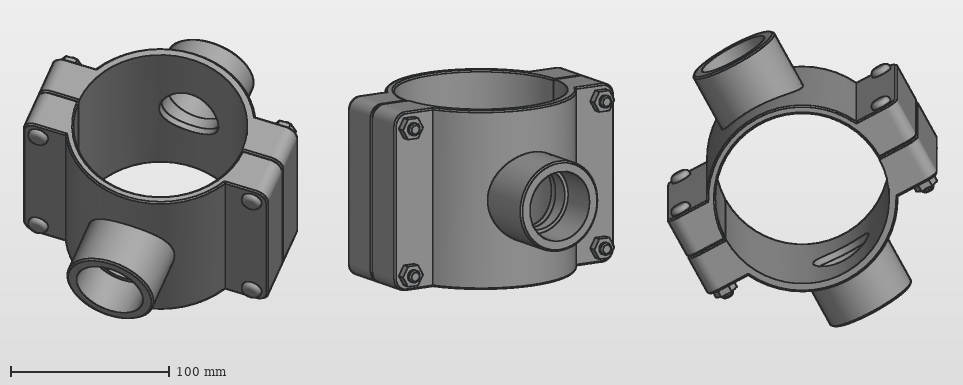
import cadquery as cq
import math

height = 116.0
width = 165.0
bore_diameter = 110.0
ring_diameter = 120.9
flange_depth = 55.0
corner_radius = 8.5
edge_chamfer = 1.05

bolt_spacing_x = 144.0
bolt_spacing_z = 95.5
bolt_diameter = 8.0
bolt_reach = 8.0
bolt_chamfer = 1.1
head_diameter = 13.0
head_height = 3.9
head_round = 3.0
nut_across_flats = 13.0
nut_height = 5.0

length = 184.0
spigot_diameter = 58.3
passage_diameter = 40.0
socket_diameter = 44.9
socket_depth = 25.0
seat_depth = 1.0
spigot_chamfer = 1.1

nut_across_corners = nut_across_flats / math.cos(math.pi / 6)
flange_face = flange_depth / 2
seat_diameter = ring_diameter - 2 * seat_depth


def y_cylinder(diameter, start, end):
    """Round bar along the Y axis, from Y = start to Y = end."""
    return cq.Workplane("XZ", origin=(0, start, 0)).circle(diameter / 2).extrude(start - end)


def z_cylinder(diameter):
    """Round bar along the Z axis, as high as the clamp."""
    return cq.Workplane("XY", origin=(0, 0, -height / 2)).circle(diameter / 2).extrude(height)


def turned_about(body):
    """The body turned half a turn about the Z axis."""
    return body.rotate((0, 0, 0), (0, 0, 1), 180)


def half_blank():
    """The -Y half of the clamp, without its bore."""
    flanges = cq.Workplane("XY").box(width, flange_depth, height).edges("|Y").fillet(corner_radius)
    front = cq.Workplane("XY").box(width, length, height).translate((0, -length / 2, 0))
    return z_cylinder(ring_diameter).union(flanges).intersect(front)


def chamfer_rims(half):
    """Chamfer the rims of the half's ends, flange face and parting face."""
    return half.faces("<Z or >Z or >Y").edges().chamfer(edge_chamfer)


def fastener():
    """Bolt head on the -Y flange face, with the nut and bolt end on the +Y one, on the Y axis."""
    head = y_cylinder(head_diameter, -flange_face, -flange_face - head_height)
    head = head.faces("<Y").edges().fillet(head_round)
    nut = (
        cq.Workplane("XZ", origin=(0, flange_face, 0))
        .polygon(6, nut_across_corners)
        .extrude(-nut_height)
    )
    bolt_end = y_cylinder(bolt_diameter, flange_face, flange_face + bolt_reach)
    bolt_end = bolt_end.faces(">Y").edges().chamfer(bolt_chamfer)
    return head.union(nut).union(bolt_end)


def make_spigot():
    """The -Y spigot, its inner end shaped to the round floor of its seat in the ring."""
    end = -length / 2
    spigot = y_cylinder(spigot_diameter, 0, end).faces("<Y").edges().chamfer(spigot_chamfer)
    spigot = spigot.cut(y_cylinder(passage_diameter, 0, end))
    spigot = spigot.cut(y_cylinder(socket_diameter, end + socket_depth, end))
    return spigot.cut(z_cylinder(seat_diameter))


def make_clamp(spigots):
    """Both clamp halves with their fasteners; the bore rim is chamfered on the -Y half only."""
    bore = z_cylinder(bore_diameter)
    front_half = chamfer_rims(half_blank().cut(bore))
    rear_half = turned_about(chamfer_rims(half_blank())).cut(bore)
    clamp = front_half.union(rear_half)
    for x in (-bolt_spacing_x / 2, bolt_spacing_x / 2):
        for z in (-bolt_spacing_z / 2, bolt_spacing_z / 2):
            clamp = clamp.union(fastener().translate((x, 0, z)))
    clamp = clamp.cut(y_cylinder(passage_diameter, -length / 2, length / 2))
    for spigot in spigots:
        clamp = clamp.cut(spigot)
    return clamp


front_spigot = make_spigot()
spigots = [front_spigot, turned_about(front_spigot)]
clamp = make_clamp(spigots)

result = cq.Compound.makeCompound([clamp.val()] + [spigot.val() for spigot in spigots])